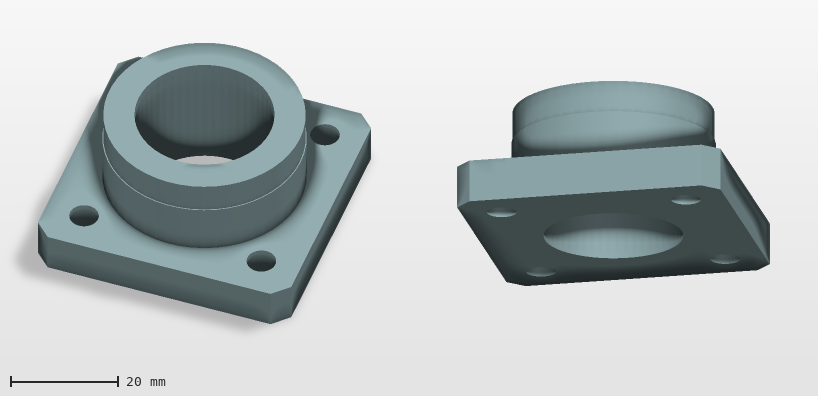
import cadquery as cq

plate_side = 50.0
plate_thickness = 8.0
corner_chamfer = 3.0

total_height = 24.0
collar_diameter = 38.0
spigot_diameter = 37.6
spigot_length = 6.0
bore_diameter = 26.0
collar_length = total_height - plate_thickness - spigot_length

hole_diameter = 5.5
hole_spacing = 35.0

plate = (
    cq.Workplane("XY")
    .box(plate_side, plate_side, plate_thickness, centered=(True, True, False))
    .edges("|Z")
    .chamfer(corner_chamfer)
)

flange = (
    plate.faces(">Z").workplane()
    .circle(collar_diameter / 2)
    .extrude(collar_length)
    .faces(">Z").workplane()
    .circle(spigot_diameter / 2)
    .extrude(spigot_length)
)

bored_flange = flange.faces(">Z").workplane().hole(bore_diameter)

mounting_holes = (
    cq.Workplane("XY")
    .rect(hole_spacing, hole_spacing, forConstruction=True)
    .vertices()
    .circle(hole_diameter / 2)
    .extrude(plate_thickness)
)

result = bored_flange.cut(mounting_holes)